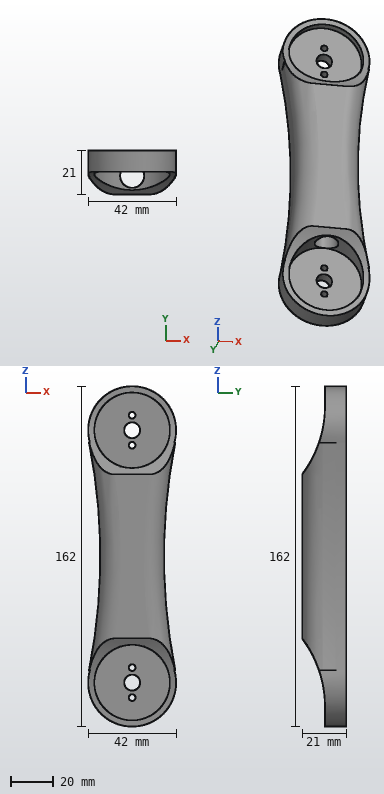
import cadquery as cq
import math

length = 162.0
width = 42.0
depth = 21.0
end_radius = width / 2
end_center_z = length / 2 - end_radius
back_y = depth / 2
front_y = -depth / 2

waist_half_width = 15.2
grip_half_length = 54.1
grip_end_half_width = math.sqrt(end_radius**2 - (end_center_z - grip_half_length)**2)
flare_half_width = 20.5
flare_start = 5.0
flare_end = 11.2
front_edge_radius = 9.7

rim_height = 10.2
end_blank_height = 15.5
relief_radius = 53.5
relief_start_z = 71.3

pocket_radius = 18.0
floor_thickness = 6.3
center_hole_diameter = 7.5
screw_hole_diameter = 3.0
screw_hole_offset = 7.1
bore_radius = 5.7
bore_height = 12.2


def at_back(z=0.0, height=0.0):
    """Sketch plane at the given height above the back, extruding towards the front (-Y)."""
    return cq.Workplane("XZ", origin=(0, back_y - height, z))


def grip_outline(plane, end_half_width):
    """Waisted outline with concave arc sides and straight ends."""
    return (
        plane
        .moveTo(-end_half_width, -grip_half_length)
        .lineTo(end_half_width, -grip_half_length)
        .threePointArc((waist_half_width, 0), (end_half_width, grip_half_length))
        .lineTo(-end_half_width, grip_half_length)
        .threePointArc((-waist_half_width, 0), (-end_half_width, -grip_half_length))
        .close()
    )


def make_grip():
    """Straight back layer, middle layer flaring at the ends, and rounded front layer."""
    back = grip_outline(at_back(), grip_end_half_width).extrude(flare_start)
    middle_base = grip_outline(at_back(height=flare_start), grip_end_half_width)
    middle_top = middle_base.workplane(offset=flare_end - flare_start)
    middle = grip_outline(middle_top, flare_half_width).loft(ruled=True, combine=True)
    front = grip_outline(at_back(height=flare_end), flare_half_width).extrude(depth - flare_end)
    front = front.faces("<Y").edges("not |X").fillet(front_edge_radius)
    return back.union(middle).union(front)


def make_relief(side):
    """Cutter across X; side is +1 for the upper end and -1 for the lower."""
    rim_y = back_y - rim_height
    arc_center_y = rim_y - relief_radius

    def arc_point(y):
        drop = math.sqrt(relief_radius**2 - (y - arc_center_y)**2)
        return (y, side * (relief_start_z - drop))

    return (
        cq.Workplane("YZ")
        .moveTo(rim_y, side * length)
        .lineTo(rim_y, side * relief_start_z)
        .threePointArc(arc_point((rim_y + front_y) / 2), arc_point(front_y))
        .lineTo(front_y - depth, arc_point(front_y)[1])
        .lineTo(front_y - depth, side * length)
        .close()
        .extrude(width, both=True)
    )


body = make_grip()
for center_z in (-end_center_z, end_center_z):
    body = body.union(at_back(center_z).circle(end_radius).extrude(end_blank_height))
for side in (-1, 1):
    center_z = side * end_center_z
    body = body.cut(make_relief(side))
    body = body.cut(at_back(center_z, floor_thickness).circle(pocket_radius).extrude(depth))
    body = body.cut(at_back(center_z).circle(center_hole_diameter / 2).extrude(depth))
    screw_holes = at_back(center_z).pushPoints([(0, -screw_hole_offset), (0, screw_hole_offset)])
    body = body.cut(screw_holes.circle(screw_hole_diameter / 2).extrude(depth))

cable_bore = (
    cq.Workplane("XY")
    .center(0, back_y - bore_height)
    .circle(bore_radius)
    .extrude(end_center_z, both=True)
)
result = body.cut(cable_bore)